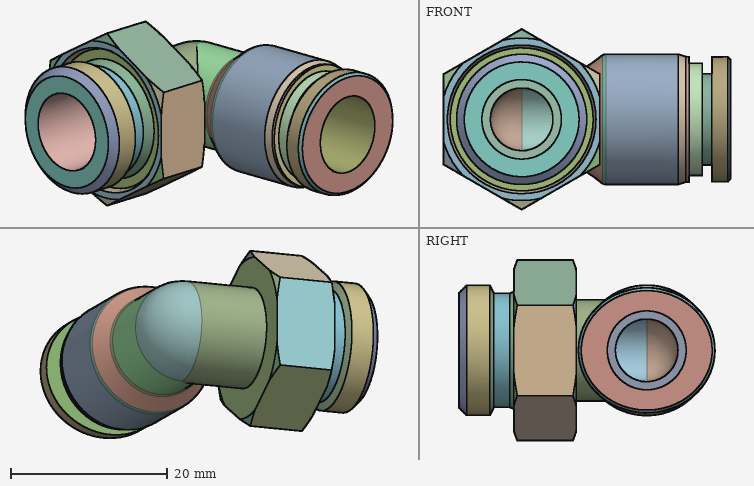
import cadquery as cq
import math


overall_length = 36.7

hex_across_flats = 20.0
hex_width = 8.0
hex_chamfer_radius = 10.4
hex_chamfer_depth = 0.45

stud_end_y = -24.0
thread_diameter = 16.65
relief_diameter = 14.6
thread_chamfer = 1.0
thread_length = 3.95
thread_runout = 0.5
relief_end = 6.5
hex_front = 7.0
stud_bore_diameter = 10.15

recess_mouth_radius = 9.5
recess_floor_radius = 9.15
recess_depth = 0.9
root_flare = 0.55

pipe_diameter = 13.0
passage_diameter = 8.0
housing_diameter = 16.7
nose_diameter = 16.05
ring_diameter = 14.4
cone_start_x = 7.93
housing_start_x = 10.5
cone_fillet = 0.8
taper_start_x = 20.0
nose_start_x = 21.0
nose_end_x = 21.4

sleeve_diameter = 11.7
collet_bore_diameter = 10.1
flange_width_y = 17.47
flange_width_z = 16.0
flange_chamfer = 0.35
ring_end_x = 23.1
flange_start_x = 24.3
collet_end_x = overall_length - hex_across_flats / 2
socket_floor_x = housing_start_x

hex_across_corners = hex_across_flats / math.cos(math.radians(30))
hex_front_y = stud_end_y + hex_front
hex_back_y = hex_front_y + hex_width
recess_floor_y = hex_front_y + recess_depth
pipe_radius = pipe_diameter / 2
passage_radius = passage_diameter / 2


def rod_along_x(diameter, start_x, end_x):
    """Plain cylinder on the X axis."""
    return cq.Workplane("YZ", origin=(start_x, 0, 0)).circle(diameter / 2).extrude(end_x - start_x)


def rod_along_y(diameter, start_y, end_y):
    """Plain cylinder on the Y axis."""
    return cq.Workplane("XZ", origin=(0, end_y, 0)).circle(diameter / 2).extrude(end_y - start_y)


def turned_about_y(profile):
    """Revolve a closed (radius, y) profile about the Y axis."""
    return cq.Workplane("XY").polyline(profile).close().revolve(360, (0, 0, 0), (0, 1, 0))


def hexagon():
    """Hexagon with corners on +Z and -Z and both faces chamfered by a cone."""
    prism = (
        cq.Workplane("XZ", origin=(0, hex_back_y, 0))
        .polygon(6, hex_across_corners)
        .extrude(hex_width)
        .rotate((0, 0, 0), (0, 1, 0), 30)
    )
    corner_radius = hex_across_corners / 2
    chamfer_envelope = turned_about_y([
        (0, hex_front_y),
        (hex_chamfer_radius, hex_front_y),
        (corner_radius, hex_front_y + hex_chamfer_depth),
        (corner_radius, hex_back_y - hex_chamfer_depth),
        (hex_chamfer_radius, hex_back_y),
        (0, hex_back_y),
    ])
    return prism.intersect(chamfer_envelope)


def seal_recess():
    """Tapered pocket sunk into the front hexagon face around the thread root."""
    return turned_about_y([
        (0, hex_front_y),
        (recess_mouth_radius, hex_front_y),
        (recess_floor_radius, recess_floor_y),
        (0, recess_floor_y),
    ])


def thread_end():
    """Thread envelope, relief groove and the flare at its root."""
    thread_radius = thread_diameter / 2
    relief_radius = relief_diameter / 2
    relief_end_y = stud_end_y + relief_end
    flare_radius = relief_radius + root_flare
    return turned_about_y([
        (0, stud_end_y),
        (thread_radius - thread_chamfer, stud_end_y),
        (thread_radius, stud_end_y + thread_chamfer),
        (thread_radius, stud_end_y + thread_length),
        (relief_radius, stud_end_y + thread_length + thread_runout),
        (relief_radius, relief_end_y),
        (flare_radius, recess_floor_y),
        (0, recess_floor_y),
    ])


def make_stud():
    """Hexagon with the thread end, bored through along Y."""
    solid = hexagon().cut(seal_recess()).union(thread_end())
    return solid.cut(rod_along_y(stud_bore_diameter, stud_end_y, hex_back_y))


def circular_edges_at(solid, x):
    """Edges of the solid lying in the plane at the given x."""
    reach = overall_length
    margin = 0.05
    slab = cq.selectors.BoxSelector((x - margin, -reach, -reach), (x + margin, reach, reach))
    return solid.edges("%CIRCLE").edges(slab)


def tube_housing():
    """Turned outside of the tube connection, from the elbow centre to the ring."""
    profile = [
        (0, 0),
        (0, pipe_radius),
        (cone_start_x, pipe_radius),
        (housing_start_x, housing_diameter / 2),
        (taper_start_x, housing_diameter / 2),
        (nose_start_x, nose_diameter / 2),
        (nose_end_x, nose_diameter / 2),
        (nose_end_x, ring_diameter / 2),
        (ring_end_x, ring_diameter / 2),
        (ring_end_x, 0),
    ]
    housing = cq.Workplane("XY").polyline(profile).close().revolve(360, (0, 0, 0), (1, 0, 0))
    for corner_x in (cone_start_x, housing_start_x):
        housing = circular_edges_at(housing, corner_x).fillet(cone_fillet)
    return housing


def make_elbow():
    """Bent pipe seated on the rear hexagon face, with the tube housing and the collet socket."""
    outside = (
        tube_housing()
        .union(rod_along_y(pipe_diameter, hex_back_y, 0))
        .union(cq.Workplane("XY").sphere(pipe_radius))
    )
    passage = (
        rod_along_y(passage_diameter, hex_back_y, 0)
        .union(rod_along_x(passage_diameter, 0, socket_floor_x))
        .union(cq.Workplane("XY").sphere(passage_radius))
    )
    collet_socket = rod_along_x(sleeve_diameter, socket_floor_x, ring_end_x)
    return outside.cut(passage).cut(collet_socket)


def make_collet():
    """Sleeve that fills the elbow socket, with an oval push flange."""
    flange = (
        cq.Workplane("YZ", origin=(flange_start_x, 0, 0))
        .ellipse(flange_width_y / 2, flange_width_z / 2)
        .extrude(collet_end_x - flange_start_x)
        .faces(">X")
        .edges()
        .chamfer(flange_chamfer)
    )
    sleeve = rod_along_x(sleeve_diameter, socket_floor_x, flange_start_x)
    tube_bore = rod_along_x(collet_bore_diameter, socket_floor_x, collet_end_x)
    return sleeve.union(flange).cut(tube_bore)


stud = make_stud()
elbow = make_elbow()
collet = make_collet()

result = cq.Compound.makeCompound([stud.val(), elbow.val(), collet.val()])